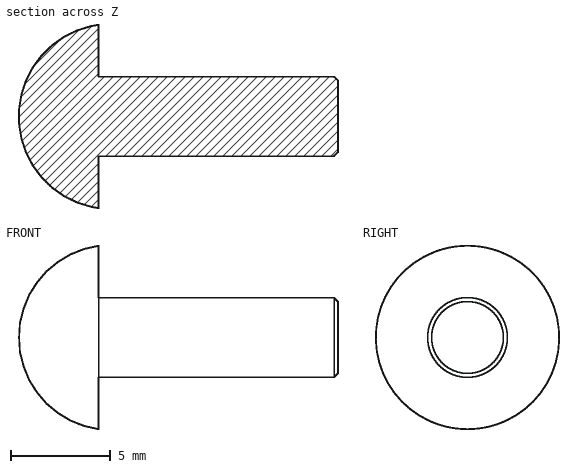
import cadquery as cq

head_diameter = 9.2
head_height = 4.0
shank_diameter = 4.0
shank_length = 12.0
end_chamfer = 0.2

head_radius = head_diameter / 2
dome_radius = (head_radius**2 + head_height**2) / (2 * head_height)
dome_center_x = dome_radius - head_height


def make_head():
    """Domed head with its crown towards -X and its flat underside at X = 0."""
    ball = cq.Workplane("XY").sphere(dome_radius).translate((dome_center_x, 0, 0))
    ball_diameter = 2 * dome_radius
    head_side = cq.Workplane("YZ").rect(ball_diameter, ball_diameter).extrude(-head_height)
    return ball.intersect(head_side)


def make_shank():
    """Plain round shank along +X with a chamfered free end."""
    shank = cq.Workplane("YZ").circle(shank_diameter / 2).extrude(shank_length)
    return shank.faces(">X").chamfer(end_chamfer)


result = make_head().union(make_shank())